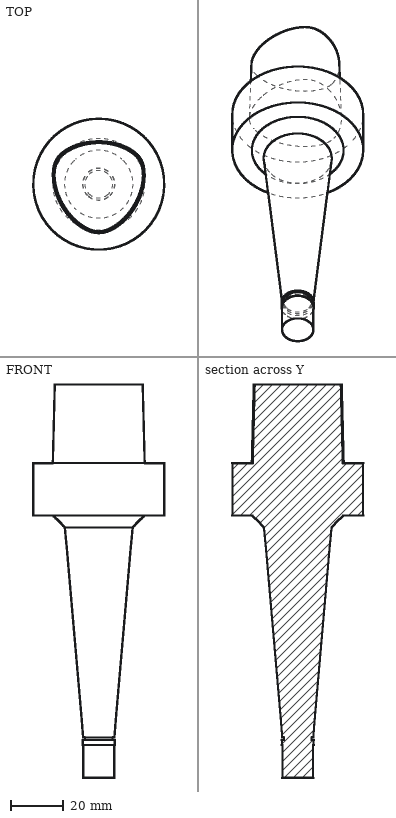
import cadquery as cq
import math

total_length = 150.0
shank_length = 30.0
flange_diameter = 50.0
flange_thickness = 20.0

shank_base_diameter = 35.1
shank_taper = 1 / 20
lobe_offset = 1.15
points_per_profile = 48

transition_top_diameter = 35.0
transition_bottom_diameter = 26.0
transition_height = (transition_top_diameter - transition_bottom_diameter) / 2

neck_end_diameter = 12.0
groove_diameter = 10.5
groove_width = 1.0
collar_diameter = 12.3
collar_height = 2.0
tip_diameter = 12.0
tip_length = 12.5


def lobed_point(mean_radius, angle):
    """Point on a constant-width curve with three lobes, one of them toward -Y."""
    along_lobe = (
        mean_radius * math.cos(angle)
        + 2 * lobe_offset * math.cos(2 * angle)
        - lobe_offset * math.cos(4 * angle)
    )
    across_lobe = (
        mean_radius * math.sin(angle)
        - 2 * lobe_offset * math.sin(2 * angle)
        - lobe_offset * math.sin(4 * angle)
    )
    return across_lobe, -along_lobe


def lobed_profile(mean_radius):
    step = 2 * math.pi / points_per_profile
    return [lobed_point(mean_radius, i * step) for i in range(points_per_profile)]


def make_shank():
    base_radius = shank_base_diameter / 2
    end_radius = base_radius - shank_length * shank_taper / 2
    return (
        cq.Workplane("XY")
        .spline(lobed_profile(base_radius), periodic=True)
        .close()
        .workplane(offset=shank_length)
        .spline(lobed_profile(end_radius), periodic=True)
        .close()
        .loft(ruled=True)
    )


def make_turned_body():
    """Flange, cone, neck, groove, collar and tip as one half profile spun about Z."""
    bottom = shank_length - total_length
    collar_bottom = bottom + tip_length
    groove_bottom = collar_bottom + collar_height
    neck_bottom = groove_bottom + groove_width
    flange_bottom = -flange_thickness
    neck_top = flange_bottom - transition_height
    half_profile = [
        (0, 0),
        (flange_diameter / 2, 0),
        (flange_diameter / 2, flange_bottom),
        (transition_top_diameter / 2, flange_bottom),
        (transition_bottom_diameter / 2, neck_top),
        (neck_end_diameter / 2, neck_bottom),
        (groove_diameter / 2, neck_bottom),
        (groove_diameter / 2, groove_bottom),
        (collar_diameter / 2, groove_bottom),
        (collar_diameter / 2, collar_bottom),
        (tip_diameter / 2, collar_bottom),
        (tip_diameter / 2, bottom),
        (0, bottom),
    ]
    axis_start = (0, 0)
    axis_end = (0, 1)
    return cq.Workplane("YZ").polyline(half_profile).close().revolve(360, axis_start, axis_end)


result = make_turned_body().union(make_shank())